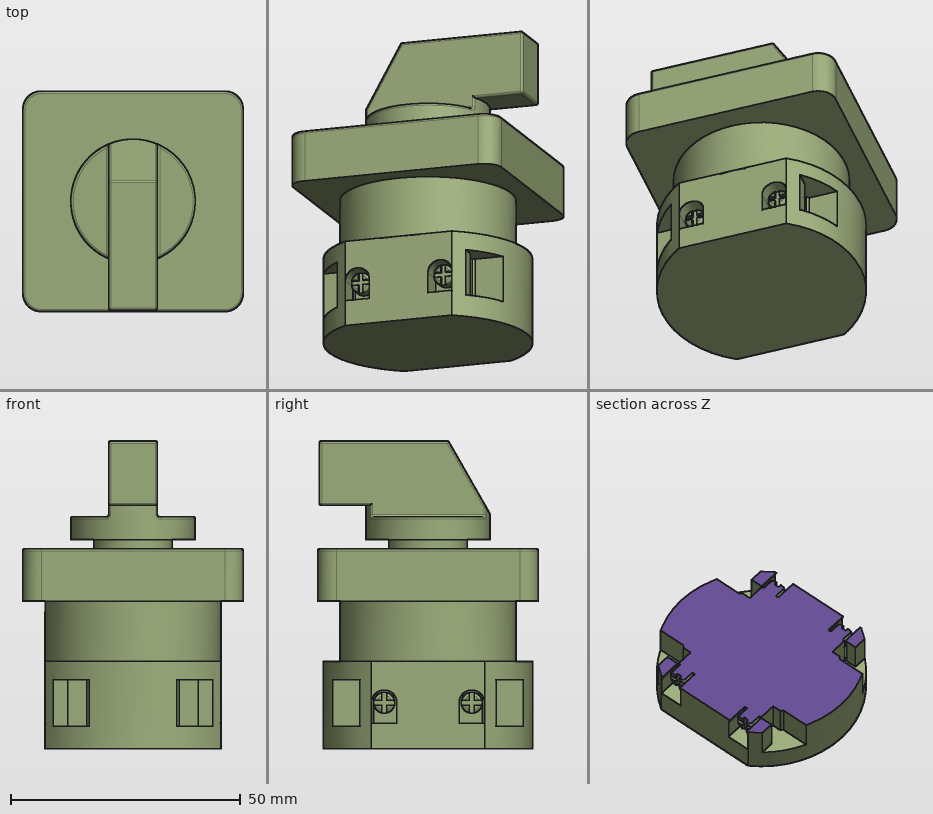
import cadquery as cq

BLOCK_TOP = 19.0
PLATE_BOTTOM = 32.15
PLATE_TOP = 43.55
DISC_BOTTOM = 45.5
DISC_TOP = 50.5
OVERHANG_BOTTOM = 52.9
GRIP_TOP = 67.0

BLOCK_RADIUS = 22.8
BODY_RADIUS = 19.15
NECK_RADIUS = 8.6
DISC_RADIUS = 13.55
PLATE_SIDE = 48.0
PLATE_CORNER_RADIUS = 4.0
SOFT_EDGE = 0.5

GRIP_WIDTH = 10.6
GRIP_FRONT_Y = -23.65
GRIP_SLOPE_TOP_Y = 4.4

POCKET_BOTTOM = 4.9
POCKET_TOP = 15.1
MOUTH_INNER_X = 9.5
MOUTH_OUTER_X = 17.35
MOUTH_FLOOR_Y = 14.8
WELL_OUTER_X = 14.15
WELL_FLOOR_Y = 11.8
WELL_CHAMFER = 0.55
WELL_CHAMFER_Y = 14.3

SCREW_Y = 9.5
SCREW_Z = 10.05
SLOT_WIDTH = 5.5
SLOT_BOTTOM = 5.6
SLOT_BACK_X = WELL_OUTER_X

HEAD_RADIUS = 2.3
HEAD_FACE_X = 17.15
HEAD_ROUNDING = 0.7
CROSS_WIDTH = 1.1


def cylinder(radius, bottom, top):
    return cq.Workplane("XY").workplane(offset=bottom).circle(radius).extrude(top - bottom)


def four_quadrants(shape):
    """Mirror a shape about both upright centre planes."""
    pair = shape.union(shape.mirror("YZ"))
    return pair.union(pair.mirror("XZ"))


def wire_pocket():
    """Stepped pocket in the +X +Y quadrant: a wide mouth with a narrower well behind it."""
    well_inner_x = MOUTH_INNER_X + WELL_CHAMFER
    return (
        cq.Workplane("XY")
        .workplane(offset=POCKET_BOTTOM)
        .moveTo(MOUTH_INNER_X, BLOCK_RADIUS)
        .lineTo(MOUTH_INNER_X, WELL_CHAMFER_Y)
        .lineTo(well_inner_x, WELL_CHAMFER_Y - WELL_CHAMFER)
        .lineTo(well_inner_x, WELL_FLOOR_Y)
        .lineTo(WELL_OUTER_X, WELL_FLOOR_Y)
        .lineTo(WELL_OUTER_X, MOUTH_FLOOR_Y)
        .lineTo(MOUTH_OUTER_X, MOUTH_FLOOR_Y)
        .lineTo(MOUTH_OUTER_X, BLOCK_RADIUS)
        .close()
        .extrude(POCKET_TOP - POCKET_BOTTOM)
    )


def screw_slot():
    """Round-topped slot sunk into the +X flat."""
    half_width = SLOT_WIDTH / 2
    return (
        cq.Workplane("YZ")
        .workplane(offset=SLOT_BACK_X)
        .moveTo(SCREW_Y - half_width, SLOT_BOTTOM)
        .lineTo(SCREW_Y + half_width, SLOT_BOTTOM)
        .lineTo(SCREW_Y + half_width, SCREW_Z)
        .threePointArc((SCREW_Y, SCREW_Z + half_width), (SCREW_Y - half_width, SCREW_Z))
        .close()
        .extrude(BODY_RADIUS - SLOT_BACK_X)
    )


def screw_head():
    """Screw head standing on the slot back, with a cross cut as deep as its rounding."""
    head = (
        cq.Workplane("YZ", origin=(SLOT_BACK_X, SCREW_Y, SCREW_Z))
        .circle(HEAD_RADIUS)
        .extrude(HEAD_FACE_X - SLOT_BACK_X)
        .faces(">X")
        .edges()
        .fillet(HEAD_ROUNDING)
    )
    face_plane = cq.Workplane("YZ", origin=(HEAD_FACE_X, SCREW_Y, SCREW_Z))
    level_bar = face_plane.rect(2 * HEAD_RADIUS, CROSS_WIDTH).extrude(-HEAD_ROUNDING)
    upright_bar = face_plane.rect(CROSS_WIDTH, 2 * HEAD_RADIUS).extrude(-HEAD_ROUNDING)
    return head.cut(level_bar).cut(upright_bar)


def terminal_block():
    flats = cq.Workplane("XY").rect(2 * BODY_RADIUS, 2 * BLOCK_RADIUS).extrude(BLOCK_TOP)
    block = cylinder(BLOCK_RADIUS, 0, BLOCK_TOP).intersect(flats)
    block = block.cut(four_quadrants(wire_pocket()))
    block = block.cut(four_quadrants(screw_slot()))
    return block.union(four_quadrants(screw_head()))


def front_plate():
    return (
        cq.Workplane("XY")
        .workplane(offset=PLATE_BOTTOM)
        .rect(PLATE_SIDE, PLATE_SIDE)
        .extrude(PLATE_TOP - PLATE_BOTTOM)
        .edges("|Z")
        .fillet(PLATE_CORNER_RADIUS)
        .faces(">Z")
        .edges()
        .fillet(SOFT_EDGE)
    )


def knob():
    """Round disc carrying an upright grip that slopes at the back and overhangs in front."""
    side_profile = (
        cq.Workplane("YZ")
        .moveTo(GRIP_FRONT_Y, OVERHANG_BOTTOM)
        .lineTo(GRIP_FRONT_Y, GRIP_TOP)
        .lineTo(GRIP_SLOPE_TOP_Y, GRIP_TOP)
        .lineTo(DISC_RADIUS, DISC_TOP + SOFT_EDGE)
        .lineTo(DISC_RADIUS, DISC_BOTTOM)
        .lineTo(-DISC_RADIUS, DISC_BOTTOM)
        .lineTo(-DISC_RADIUS, OVERHANG_BOTTOM)
        .close()
        .extrude(GRIP_WIDTH / 2, both=True)
    )
    overhang = (
        cq.Workplane("XY")
        .box(GRIP_WIDTH, -GRIP_FRONT_Y, GRIP_TOP - OVERHANG_BOTTOM, centered=(True, False, False))
        .translate((0, GRIP_FRONT_Y, OVERHANG_BOTTOM))
    )
    column = cylinder(DISC_RADIUS, DISC_BOTTOM, GRIP_TOP)
    grip = side_profile.intersect(column.union(overhang))
    sharp_knob = cylinder(DISC_RADIUS, DISC_BOTTOM, DISC_TOP).union(grip)
    grip_zone = cq.selectors.BoxSelector(
        (-GRIP_WIDTH, GRIP_FRONT_Y - SOFT_EDGE, DISC_TOP - SOFT_EDGE),
        (GRIP_WIDTH, DISC_RADIUS, GRIP_TOP + SOFT_EDGE),
    )
    rim_zone = cq.selectors.BoxSelector(
        (-DISC_RADIUS, -DISC_RADIUS, DISC_TOP - SOFT_EDGE),
        (DISC_RADIUS, DISC_RADIUS, DISC_TOP + SOFT_EDGE),
    )
    grip_edges = sharp_knob.edges("%LINE").edges(grip_zone)
    rim_edges = sharp_knob.edges("%CIRCLE").edges(rim_zone)
    return grip_edges.add(rim_edges).fillet(SOFT_EDGE)


result = (
    terminal_block()
    .union(cylinder(BODY_RADIUS, BLOCK_TOP, PLATE_BOTTOM))
    .union(front_plate())
    .union(cylinder(NECK_RADIUS, PLATE_TOP, DISC_BOTTOM))
    .union(knob())
)